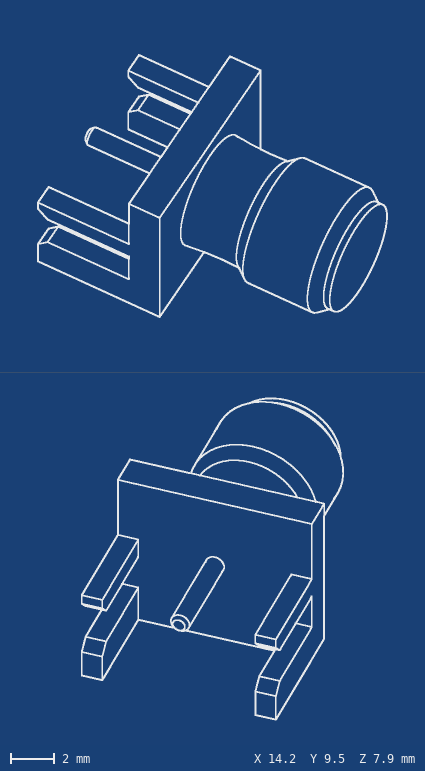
import cadquery as cq

length = 14.2
width = 9.5
height = 7.9

plate_back = 4.79
plate_thickness = 1.62
plate_front = plate_back + plate_thickness

leg_width = 1.01
lower_leg_height = 1.89
upper_leg_bottom = 3.68
upper_leg_top = 4.69
leg_chamfer = 0.51

axis_z = 4.22
barrel_radius = 3.15
tip_radius = 2.7
tip_length = 0.33
barrel_chamfer_length = 0.6
barrel_start = 9.29
barrel_shoulder = length - tip_length - barrel_chamfer_length

neck_root_radius = 2.78
neck_waist_radius = 2.67
neck_end_radius = 2.7
neck_waist_x = 8.16

pin_radius = 0.45
pin_tip_radius = 0.3
pin_chamfer_length = 0.18


def make_plate():
    plate = cq.Workplane("XY").box(plate_thickness, width, height, centered=(False, True, False))
    return plate.translate((plate_back, 0, 0))


def make_leg_pair(outline):
    """Extrude an XZ leg outline inward from each side of the plate."""
    inner_face = cq.Workplane("XZ", origin=(0, leg_width - width / 2, 0))
    near_leg = inner_face.polyline(outline).close().extrude(leg_width)
    return near_leg.union(near_leg.mirror("XZ"))


def revolve_about_axis(half_profile):
    """Revolve a closed (x, radius) half profile about the connector axis."""
    return half_profile.close().revolve(360, (0, 0, 0), (1, 0, 0))


axis_plane = cq.Workplane("XZ", origin=(0, 0, axis_z))

lower_legs = make_leg_pair([
    (0, 0),
    (plate_front, 0),
    (plate_front, lower_leg_height),
    (leg_chamfer, lower_leg_height),
    (0, lower_leg_height - leg_chamfer),
])
upper_legs = make_leg_pair([
    (0, upper_leg_top),
    (plate_front, upper_leg_top),
    (plate_front, upper_leg_bottom),
    (leg_chamfer, upper_leg_bottom),
    (0, upper_leg_bottom + leg_chamfer),
])

barrel = revolve_about_axis(
    axis_plane.moveTo(plate_back, 0)
    .lineTo(plate_back, neck_root_radius)
    .lineTo(plate_front, neck_root_radius)
    .threePointArc((neck_waist_x, neck_waist_radius), (barrel_start, neck_end_radius))
    .lineTo(barrel_start + barrel_chamfer_length, barrel_radius)
    .lineTo(barrel_shoulder, barrel_radius)
    .lineTo(length - tip_length, tip_radius)
    .lineTo(length, tip_radius)
    .lineTo(length, 0)
)

pin = revolve_about_axis(
    axis_plane.lineTo(0, pin_tip_radius)
    .lineTo(pin_chamfer_length, pin_radius)
    .lineTo(plate_front, pin_radius)
    .lineTo(plate_front, 0)
)

result = make_plate().union(lower_legs).union(upper_legs).union(barrel).union(pin)